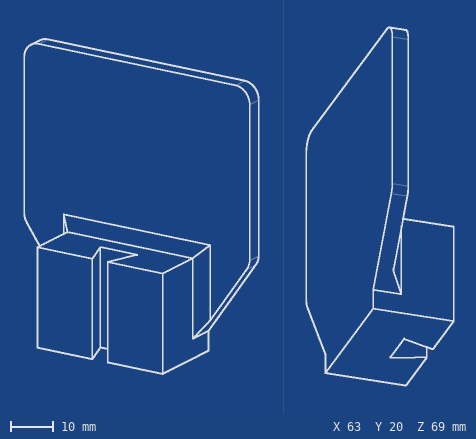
import cadquery as cq

plate_width = 63.0
plate_height = 69.0
plate_thickness = 4.0
corner_radius = 4.0
taper_bottom = 5.0

total_depth = 20.0
block_width = 35.0
block_height = 25.0
flare = 3.0

slot_mouth = 4.3
slot_floor = 10.2
slot_depth = 8.15

half_plate = plate_width / 2
half_block = block_width / 2


def outline_prism(depth):
    """Plate outline with rounded corners, extruded from Y = 0 toward -Y."""
    outline = (
        cq.Workplane("XZ")
        .moveTo(-half_block, 0)
        .lineTo(half_block, 0)
        .lineTo(half_block, taper_bottom)
        .lineTo(half_plate, block_height)
        .lineTo(half_plate, plate_height)
        .lineTo(-half_plate, plate_height)
        .lineTo(-half_plate, block_height)
        .lineTo(-half_block, taper_bottom)
        .close()
        .extrude(depth)
    )
    corners = outline.edges("|Y").edges(cq.selectors.BoxSelector(
        (-plate_width, -total_depth, (taper_bottom + block_height) / 2),
        (plate_width, total_depth, plate_height + corner_radius),
    ))
    return corners.fillet(corner_radius)


def flared_joint():
    """Widened root of the block, trimmed to the plate outline."""
    root = (
        cq.Workplane("XZ", origin=(0, -plate_thickness, 0))
        .center(0, (block_height + flare) / 2)
        .rect(block_width + 2 * flare, block_height + flare)
        .workplane(offset=flare)
        .center(0, -flare / 2)
        .rect(block_width, block_height)
        .loft(ruled=True)
    )
    return root.intersect(outline_prism(total_depth))


def dovetail_slot():
    """Slot that is narrow at the front face and wider at its floor."""
    floor_y = -total_depth + slot_depth
    return (
        cq.Workplane("XY")
        .polyline([
            (-slot_mouth / 2, -total_depth),
            (slot_mouth / 2, -total_depth),
            (slot_floor / 2, floor_y),
            (-slot_floor / 2, floor_y),
        ])
        .close()
        .extrude(block_height)
    )


plate = outline_prism(plate_thickness)
block = cq.Workplane("XY").box(block_width, total_depth, block_height, centered=(True, False, False))
block = block.translate((0, -total_depth, 0))

result = plate.union(flared_joint()).union(block).cut(dovetail_slot())